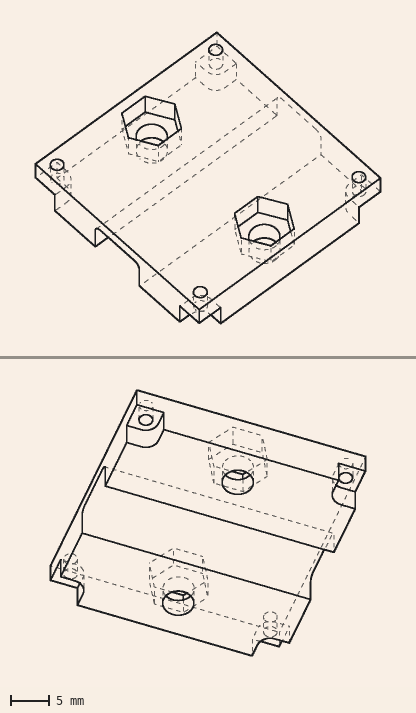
import cadquery as cq

side = 32.0
height = 6.5
flange_thickness = 3.0
base_height = height - flange_thickness

screw_hole_diameter = 1.8
screw_inset = 2.0
relief_radius = 1.75
screw_offset = side / 2 - screw_inset
relief_side = screw_inset + relief_radius

channel_width = 8.58
roof_thickness = 1.92
channel_depth = height - roof_thickness
channel_fillet = 1.0

bolt_hole_diameter = 4.1
bolt_offset = 11.0
nut_across_corners = 8.2
nut_pocket_depth = 3.5


def make_plate():
    return cq.Workplane("XY").box(side, side, height, centered=(True, True, False))


def make_channel():
    channel = cq.Workplane("XY").box(
        channel_width, side, channel_depth, centered=(True, True, False)
    )
    return channel.faces(">Z").edges("|Y").fillet(channel_fillet)


def make_corner_relief(x_sign, y_sign):
    """Square corner cutter whose inner edge is rounded about the screw axis."""
    center_offset = (side - relief_side) / 2
    relief = (
        cq.Workplane("XY")
        .center(x_sign * center_offset, y_sign * center_offset)
        .box(relief_side, relief_side, base_height, centered=(True, True, False))
    )
    inner_x = "<X" if x_sign > 0 else ">X"
    inner_y = "<Y" if y_sign > 0 else ">Y"
    return relief.faces(inner_x).edges(inner_y).fillet(relief_radius)


def make_hole(x, y, diameter):
    return cq.Workplane("XY").center(x, y).circle(diameter / 2).extrude(height)


def make_nut_pocket(x):
    """Hexagonal pocket open at the top, with two corners along Y."""
    return (
        cq.Workplane("XY", origin=(x, 0, height - nut_pocket_depth))
        .transformed(rotate=(0, 0, 90))
        .polygon(6, nut_across_corners)
        .extrude(nut_pocket_depth)
    )


result = make_plate().cut(make_channel())

for x_sign in (-1, 1):
    for y_sign in (-1, 1):
        result = result.cut(make_corner_relief(x_sign, y_sign))
        result = result.cut(
            make_hole(x_sign * screw_offset, y_sign * screw_offset, screw_hole_diameter)
        )
    result = result.cut(make_nut_pocket(x_sign * bolt_offset))
    result = result.cut(make_hole(x_sign * bolt_offset, 0, bolt_hole_diameter))